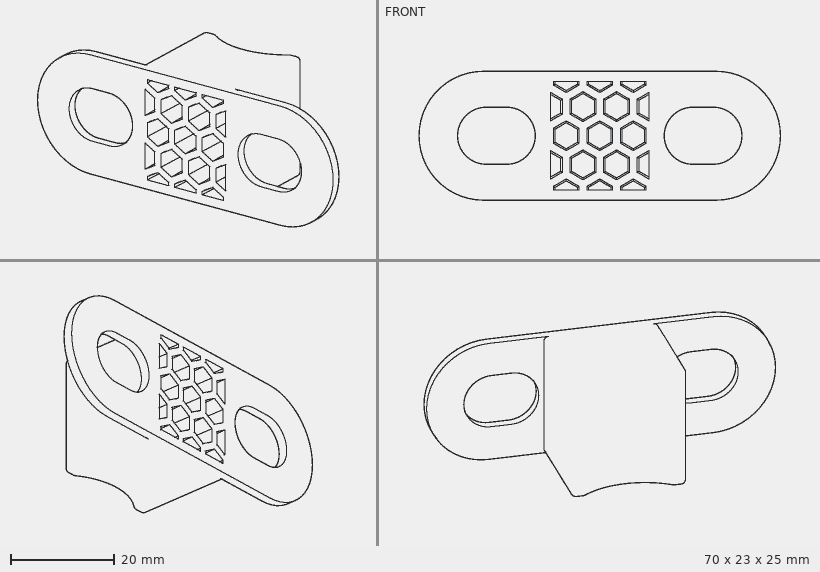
import cadquery as cq
import math

plate_length = 70.0
plate_height = 25.0
plate_thickness = 2.0

slot_length = 15.0
slot_width = 11.0
slot_spacing = 40.0

block_width = 23.0
block_end = 23.0
block_fillet = 1.0

saddle_radius = 14.5
saddle_depth = 3.0
saddle_axis_y = block_end - saddle_depth + saddle_radius

side_wall = 2.0
field_width = block_width - 2 * side_wall
field_height = plate_height - 2 * side_wall

cell_width = 5.0
cell_gap = 1.5
cell_draft = 1.0
saddle_wall = 3.0
hexagon_angle = 30
flats_to_corners = 1 / math.cos(math.radians(hexagon_angle))
cell_diameter = cell_width * flats_to_corners
column_pitch = cell_width + cell_gap
row_pitch = column_pitch / flats_to_corners

centred_columns = (-1, 0, 1)
staggered_columns = (-1.5, -0.5, 0.5, 1.5)
rows = (-2, -1, 0, 1, 2)

front_plane = cq.Plane(origin=(0, 0, 0), xDir=(-1, 0, 0), normal=(0, 1, 0))


def make_plate():
    """Stadium plate with two elongated mounting holes."""
    plate = cq.Workplane(front_plane).slot2D(plate_length, plate_height).extrude(plate_thickness)
    slots = (
        cq.Workplane(front_plane)
        .pushPoints([(-slot_spacing / 2, 0), (slot_spacing / 2, 0)])
        .slot2D(slot_length, slot_width)
        .extrude(plate_thickness)
    )
    return plate.cut(slots)


def saddle_cylinder(radius):
    """Cylinder about the saddle axis, taller than the part."""
    return cq.Workplane("XY").center(0, saddle_axis_y).circle(radius).extrude(plate_height, both=True)


def make_block():
    """Block with a saddle at its far end, rounded on every edge except those in the front plane."""
    block = cq.Workplane(front_plane).rect(block_width, plate_height).extrude(block_end)
    block = block.cut(saddle_cylinder(saddle_radius))
    front_edges = block.faces("<Y").edges()
    return block.edges().filter(lambda edge: edge not in front_edges.vals()).fillet(block_fillet)


def cell_centers():
    """Centres of the cells; rows alternate between centred and staggered columns."""
    centers = []
    for row in rows:
        columns = centred_columns if row % 2 == 0 else staggered_columns
        for column in columns:
            centers.append((column * column_pitch, row * row_pitch))
    return centers


def make_cell(x, z):
    """Hexagonal prism with upright flats at its sides, narrowing away from the front face."""
    return (
        cq.Workplane(front_plane)
        .center(x, z)
        .transformed(rotate=(0, 0, hexagon_angle))
        .polygon(6, cell_diameter)
        .extrude(block_end, taper=cell_draft)
    )


def make_cells():
    """All cells, trimmed to the field and ending on a floor concentric with the saddle."""
    cells = cq.Workplane(front_plane)
    for x, z in cell_centers():
        cells = cells.add(make_cell(x, z))
    field = cq.Workplane(front_plane).rect(field_width, field_height).extrude(block_end)
    return cells.combine().intersect(field).cut(saddle_cylinder(saddle_radius + saddle_wall))


result = make_plate().union(make_block()).cut(make_cells()).clean()